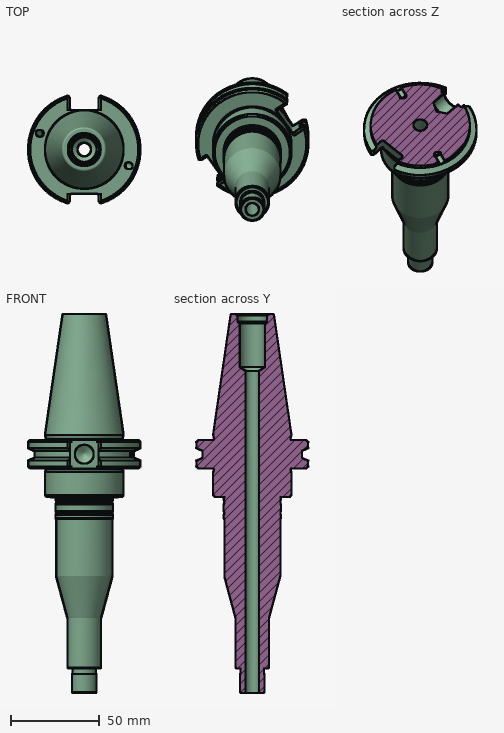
import cadquery as cq
import math


taper_length = 68.3
gauge_diameter = 44.5
taper_ratio = 7 / 24
taper_top_fillet = 1.0
gauge_radius = gauge_diameter / 2
taper_top_radius = (gauge_diameter - taper_ratio * taper_length) / 2

flange_diameter = 63.5
flange_top = -2.8
flange_bottom = -19.0
flange_chamfer = 1.3
groove_diameter = 56.3
groove_floor_top = -9.2
groove_floor_bottom = -12.8
groove_flank_height = 1.7
neck_diameter = 43.2
neck_flare = 0.54
flange_radius = flange_diameter / 2
groove_radius = groove_diameter / 2
neck_radius = neck_diameter / 2

collar_top = -21.0
collar_bottom = -35.0
collar_chamfer = 1.0

shank_radius = 32.0 / 2
ring_radius = 32.5 / 2
ring_edge_height = 0.6
ring_spans = [(-35.3, -37.2), (-38.5, -43.7), (-44.5, -47.5)]
cone_top = -79.8
cone_bottom = -103.5
stem_radius = 19.0 / 2
stem_bottom = -131.9
stem_chamfer = 0.6
relief_radius = 13.5 / 2
relief_bottom = -135.0
tip_radius = 14.0 / 2
tip_chamfer = 0.6
tip_bottom = -145.8

slot_width = 16.0
slot_edge_chamfer = 1.3
slot_corner_radius = 0.9
front_slot_floor = 25.0
rear_slot_floor = 22.3
slot_half_width = slot_width / 2

dimple_diameter = 10.7
dimple_depth = 8.5
drill_point_angle = 118

coolant_diameter = 3.9
coolant_circle_radius = 26.8
coolant_tilt = 30
coolant_angles = (160, 340)
cross_hole_diameter = 3.2

bore_diameter = 7.5
thread_diameter = 14.0
thread_depth = 30.0
thread_cone_depth = 2.1
counterbore_diameter = 16.5
counterbore_depth = 4.3
counterbore_chamfer = 1.0


def revolve_profile(points):
    """Revolve an (r, z) outline about the Z axis."""
    return cq.Workplane("XZ").polyline(points).close().revolve(360, (0, 0, 0), (0, 1, 0))


def ring_outline(top, bottom):
    """Outline points of one ring with sloped edges, standing proud of the shank."""
    return [
        (shank_radius, top),
        (ring_radius, top - ring_edge_height),
        (ring_radius, bottom + ring_edge_height),
        (shank_radius, bottom),
    ]


def make_body():
    outline = [
        (0, taper_length),
        (taper_top_radius, taper_length),
        (gauge_radius, 0),
        (neck_radius, flange_top + neck_flare),
        (neck_radius + neck_flare, flange_top),
        (flange_radius - flange_chamfer, flange_top),
        (flange_radius, flange_top - flange_chamfer),
        (flange_radius, groove_floor_top + groove_flank_height),
        (groove_radius, groove_floor_top),
        (groove_radius, groove_floor_bottom),
        (flange_radius, groove_floor_bottom - groove_flank_height),
        (flange_radius, flange_bottom + flange_chamfer),
        (flange_radius - flange_chamfer, flange_bottom),
        (neck_radius + neck_flare, flange_bottom),
        (neck_radius, flange_bottom - neck_flare),
        (gauge_radius, collar_top),
        (gauge_radius, collar_bottom + collar_chamfer),
        (gauge_radius - collar_chamfer, collar_bottom),
    ]
    for top, bottom in ring_spans:
        outline += ring_outline(top, bottom)
    outline += [
        (shank_radius, cone_top),
        (stem_radius, cone_bottom),
        (stem_radius, stem_bottom + stem_chamfer),
        (stem_radius - stem_chamfer, stem_bottom),
        (relief_radius, stem_bottom),
        (relief_radius, relief_bottom),
        (tip_radius, relief_bottom),
        (tip_radius, tip_bottom + tip_chamfer),
        (tip_radius - tip_chamfer, tip_bottom),
        (0, tip_bottom),
    ]
    return revolve_profile(outline).edges(">Z").fillet(taper_top_fillet)


def make_bore():
    bore_radius = bore_diameter / 2
    thread_radius = thread_diameter / 2
    counterbore_radius = counterbore_diameter / 2
    counterbore_floor = taper_length - counterbore_depth
    thread_bottom = taper_length - thread_depth
    return revolve_profile([
        (0, taper_length),
        (counterbore_radius + counterbore_chamfer, taper_length),
        (counterbore_radius, taper_length - counterbore_chamfer),
        (counterbore_radius, counterbore_floor),
        (thread_radius, counterbore_floor - (counterbore_radius - thread_radius)),
        (thread_radius, thread_bottom),
        (bore_radius, thread_bottom - thread_cone_depth),
        (bore_radius, tip_bottom),
        (0, tip_bottom),
    ])


def drill(diameter, depth):
    """Drill entering at Z = 0 and pointing down, with a conical point below its full depth."""
    radius = diameter / 2
    point = radius / math.tan(math.radians(drill_point_angle / 2))
    return revolve_profile([(0, 0), (radius, 0), (radius, -depth), (0, -depth - point)])


def make_slot(floor):
    """Drive slot open toward -Y, with rounded floor corners and chamfered wall edges."""
    height = flange_top - flange_bottom
    length = flange_radius - floor
    wide = slot_half_width + slot_edge_chamfer
    slot = (
        cq.Workplane("XY", origin=(0, 0, flange_bottom))
        .rect(2 * slot_half_width, 2 * length)
        .extrude(height)
        .translate((0, -flange_radius, 0))
        .edges("|Z and >Y")
        .fillet(slot_corner_radius)
    )
    for face, inward in ((flange_top, -1), (flange_bottom, 1)):
        chamfer_end = face + inward * slot_edge_chamfer
        face_edges = (
            cq.Workplane("XZ", origin=(0, -floor, 0))
            .polyline([
                (-wide, face),
                (wide, face),
                (slot_half_width, chamfer_end),
                (-slot_half_width, chamfer_end),
            ])
            .close()
            .extrude(length)
        )
        slot = slot.union(face_edges)
    rim_edge = math.sqrt(flange_radius**2 - wide**2)
    mouth = (
        cq.Workplane("XY", origin=(0, 0, flange_bottom))
        .polyline([
            (-slot_half_width, slot_edge_chamfer - rim_edge),
            (slot_half_width, slot_edge_chamfer - rim_edge),
            (wide, -rim_edge),
            (wide, -flange_radius),
            (-wide, -flange_radius),
            (-wide, -rim_edge),
        ])
        .close()
        .extrude(height)
    )
    return slot.union(mouth)


front_slot = make_slot(front_slot_floor)
rear_slot = make_slot(rear_slot_floor).rotate((0, 0, 0), (0, 0, 1), 180)

dimple = (
    drill(dimple_diameter, dimple_depth)
    .rotate((0, 0, 0), (1, 0, 0), 90)
    .translate((0, -front_slot_floor, (flange_top + flange_bottom) / 2))
)

result = make_body().cut(make_bore()).cut(front_slot).cut(rear_slot).cut(dimple)

groove_middle = (groove_floor_top + groove_floor_bottom) / 2
coolant_drop = flange_top - groove_middle
coolant_inner_radius = coolant_circle_radius - coolant_drop * math.tan(math.radians(coolant_tilt))
coolant_depth = coolant_drop / math.cos(math.radians(coolant_tilt))
coolant_hole = (
    drill(coolant_diameter, coolant_depth)
    .union(cq.Workplane("XY").circle(coolant_diameter / 2).extrude(coolant_diameter))
    .rotate((0, 0, 0), (0, 1, 0), coolant_tilt)
    .translate((coolant_circle_radius, 0, flange_top))
)
cross_hole = (
    cq.Workplane("YZ", origin=(coolant_inner_radius, 0, groove_middle))
    .circle(cross_hole_diameter / 2)
    .extrude(groove_radius - coolant_inner_radius)
)
coolant_passage = coolant_hole.union(cross_hole)

for angle in coolant_angles:
    result = result.cut(coolant_passage.rotate((0, 0, 0), (0, 0, 1), angle))